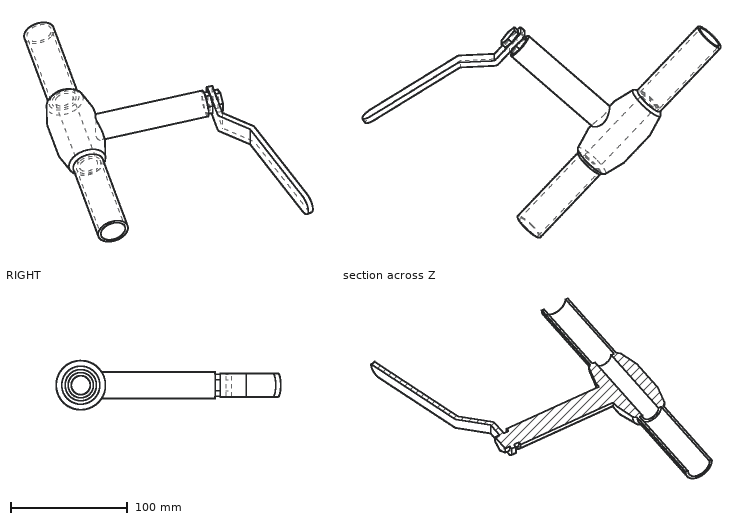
import cadquery as cq
import math


pipe_half_length = 115.0
pipe_radius = 26.8 / 2
pipe_bore_radius = 21.7 / 2
ball_bore_radius = 16.0 / 2
body_radius = 42.3 / 2
body_cylinder_half = 16.5
body_shoulder_radius = 16.3
body_shoulder_half = 35.0
body_half_length = body_shoulder_half + body_shoulder_radius - pipe_radius

stem_radius = 23.0 / 2
stem_top = 115.0
hex_across_flats = 16.5
hex_corner_diameter = hex_across_flats / math.cos(math.radians(30))
hex_top = 128.8

strip_thickness = 4.5
strip_width = 20.5
lever_base = stem_top + 4.5
lever_start = -stem_radius
lever_tip = 140.0
lower_bend = 22.2
upper_bend = 46.5
crank_angle = math.radians(45)
handle_angle = math.radians(15)
lever_corner_radius = 4.3


def make_body():
    """Pipe and body as one solid of revolution, without the bores."""
    return (
        cq.Workplane("XY")
        .moveTo(-pipe_half_length, 0)
        .lineTo(-pipe_half_length, pipe_radius)
        .lineTo(-body_half_length, pipe_radius)
        .lineTo(-body_shoulder_half, body_shoulder_radius)
        .lineTo(-body_cylinder_half, body_radius)
        .lineTo(body_cylinder_half, body_radius)
        .lineTo(body_shoulder_half, body_shoulder_radius)
        .lineTo(body_half_length, pipe_radius)
        .lineTo(pipe_half_length, pipe_radius)
        .lineTo(pipe_half_length, 0)
        .close()
        .revolve(360, (0, 0, 0), (1, 0, 0))
    )


def make_bores():
    """Through bore of the ball, widened inside both pipe ends."""
    bores = cq.Workplane("YZ").circle(ball_bore_radius).extrude(pipe_half_length, both=True)
    pipe_bore_length = pipe_half_length - body_half_length
    for start in (-pipe_half_length, body_half_length):
        bore = cq.Workplane("YZ", origin=(start, 0, 0)).circle(pipe_bore_radius).extrude(pipe_bore_length)
        bores = bores.union(bore)
    return bores


def make_stem():
    """Round stem topped by a hexagon with corners pointing along Z."""
    stem = cq.Workplane("XZ").circle(stem_radius).extrude(-stem_top)
    hexagon = (
        cq.Workplane("XZ", origin=(0, stem_top, 0))
        .transformed(rotate=(0, 0, 90))
        .polygon(6, hex_corner_diameter)
        .extrude(stem_top - hex_top)
    )
    return stem.union(hexagon)


def shift(point, distance, angle):
    """Point moved by a distance in the direction of an angle."""
    return (point[0] + distance * math.cos(angle), point[1] + distance * math.sin(angle))


def make_lever():
    """Cranked strip with bends of one thickness outer radius and a round tip."""
    quarter_turn = math.pi / 2
    lever_top = lever_base + strip_thickness
    first_inner = (lower_bend, lever_top)
    first_outer_start = (lower_bend, lever_base)
    first_outer_middle = shift(first_inner, strip_thickness, crank_angle / 2 - quarter_turn)
    first_outer_end = shift(first_inner, strip_thickness, crank_angle - quarter_turn)

    crank_rise = (upper_bend - first_outer_end[0]) * math.tan(crank_angle)
    second_inner = (upper_bend, first_outer_end[1] + crank_rise)
    second_outer_start = shift(second_inner, strip_thickness, crank_angle + quarter_turn)
    middle_angle = (crank_angle + handle_angle) / 2 + quarter_turn
    second_outer_middle = shift(second_inner, strip_thickness, middle_angle)
    second_outer_end = shift(second_inner, strip_thickness, handle_angle + quarter_turn)

    handle_length = (lever_tip - upper_bend) / math.cos(handle_angle)
    tip_lower = shift(second_inner, handle_length, handle_angle)
    tip_upper = shift(tip_lower, strip_thickness, handle_angle + quarter_turn)

    strip = (
        cq.Workplane("XY")
        .moveTo(lever_start, lever_base)
        .lineTo(*first_outer_start)
        .threePointArc(first_outer_middle, first_outer_end)
        .lineTo(*second_inner)
        .lineTo(*tip_lower)
        .lineTo(*tip_upper)
        .lineTo(*second_outer_end)
        .threePointArc(second_outer_middle, second_outer_start)
        .lineTo(*first_inner)
        .lineTo(lever_start, lever_top)
        .close()
        .extrude(strip_width / 2, both=True)
    )
    strip = strip.edges("|Y and <X").fillet(lever_corner_radius)
    return strip.intersect(make_tip_envelope(second_inner, handle_length))


def make_tip_envelope(bend_point, handle_length):
    """Round-ended block, square to the handle, that encloses the whole strip."""
    half_width = strip_width / 2
    handle_plane = cq.Plane(
        origin=(bend_point[0], bend_point[1], 0),
        xDir=(math.cos(handle_angle), math.sin(handle_angle), 0),
        normal=(math.sin(handle_angle), -math.cos(handle_angle), 0),
    )
    arc_start = handle_length - half_width
    return (
        cq.Workplane(handle_plane)
        .moveTo(-handle_length, -half_width)
        .lineTo(arc_start, -half_width)
        .threePointArc((handle_length, 0), (arc_start, half_width))
        .lineTo(-handle_length, half_width)
        .close()
        .extrude(handle_length, both=True)
    )


result = make_body().union(make_stem()).union(make_lever()).cut(make_bores())